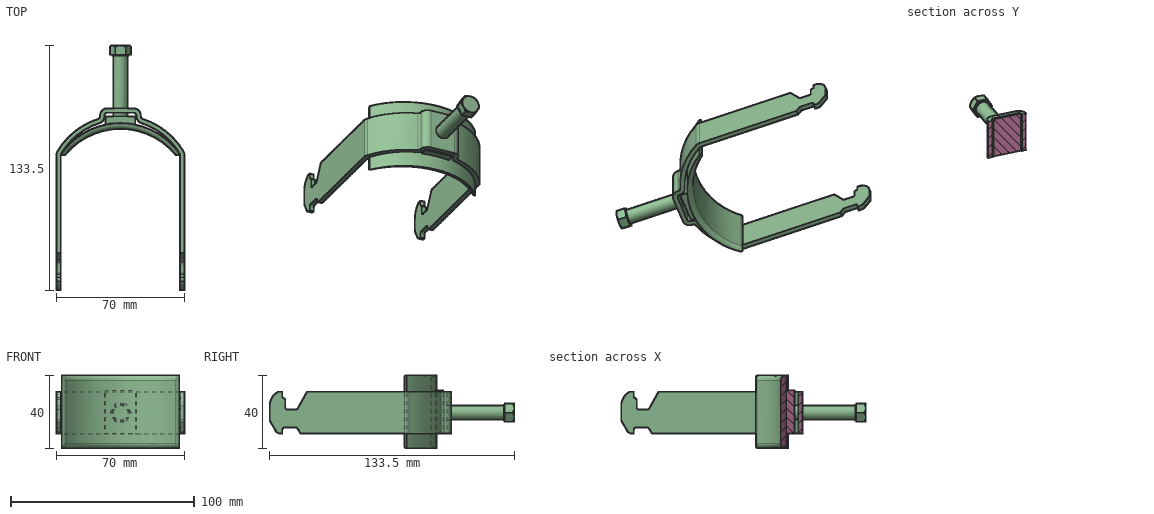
import cadquery as cq
import math


strap_span = 70.0
strap_thickness = 2.5
strap_width = 23.0
leg_length = 73.5
shoulder_radius = 4.5
arch_radius = 40.0
crown_height = 25.7
crown_flat_half = 7.2
crown_bend_inner = 1.5
crown_bend_outer = crown_bend_inner + strap_thickness

half_span = strap_span / 2
half_width = strap_width / 2
shoulder_x = half_span - shoulder_radius
arch_center_y = -math.sqrt((arch_radius - shoulder_radius) ** 2 - shoulder_x ** 2)
shoulder_angle = math.atan2(-arch_center_y, shoulder_x)
crown_wall_x = crown_flat_half + crown_bend_outer
crown_bend_y = crown_height - crown_bend_outer
foot_x = crown_wall_x + crown_bend_inner
foot_y = arch_center_y + math.sqrt((arch_radius + crown_bend_inner) ** 2 - foot_x ** 2)
foot_angle = math.atan2(foot_y - arch_center_y, foot_x)

hook_back_y = -66.5
upper_slope_start_y = -53.1
upper_floor_start_y = -58.5
upper_floor_z = 1.8
upper_wall_y = -64.9
upper_step_low_z = 7.2
upper_step_high_z = 8.5
nose_top_y = -68.7
nose_radius = 8.6
lower_slope_start_y = -56.6
lower_floor_start_y = -58.6
lower_floor_z = -8.2
bevel_top_z = -4.4
bevel_end_y = -69.3
notch_fillet = 1.0
bevel_fillet = 3.0

bolt_top = 60.0
shank_radius = 4.0
head_across_flats = 10.0
head_height = 5.2
head_chamfer = 0.8
washer_face_radius = 4.4
washer_face_height = 0.4

saddle_width = 40.0
saddle_center_z = 0.5
saddle_half_span = 32.1
saddle_end_height = 1.2
saddle_inner_half = 30.3
saddle_outer_apex = 17.7
saddle_inner_apex = 14.4
saddle_rim_fillet = 2.7
saddle_end_fillet = 1.15

block_length = 16.4
block_width = 23.5
block_top = 21.3
block_edge_fillet = 0.5


def polar(center_x, center_y, radius, angle):
    return center_x + radius * math.cos(angle), center_y + radius * math.sin(angle)


def mirrored(point):
    return -point[0], point[1]


def fillet_at(body, radius, points):
    """Round the edges of a body whose centroids lie nearest to the given points."""
    for point in points:
        body = body.edges(cq.selectors.NearestToPointSelector(point)).fillet(radius)
    return body


def strap_face(depth):
    """Points of one strap face from the right leg to the crown, at a depth below the outer face."""
    shoulder_r = shoulder_radius - depth
    arch_r = arch_radius - depth
    bend_r = crown_bend_outer - depth
    foot_r = crown_bend_inner + depth
    arch_mid_angle = (shoulder_angle + foot_angle) / 2
    foot_mid_angle = math.pi + foot_angle / 2
    return {
        "leg_end": (half_span - depth, -leg_length),
        "leg_top": (half_span - depth, 0),
        "shoulder_mid": polar(shoulder_x, 0, shoulder_r, shoulder_angle / 2),
        "shoulder_end": polar(shoulder_x, 0, shoulder_r, shoulder_angle),
        "arch_mid": polar(0, arch_center_y, arch_r, arch_mid_angle),
        "arch_end": polar(0, arch_center_y, arch_r, foot_angle),
        "foot_mid": polar(foot_x, foot_y, foot_r, foot_mid_angle),
        "foot_end": (crown_wall_x - depth, foot_y),
        "wall_end": (crown_wall_x - depth, crown_bend_y),
        "bend_mid": polar(crown_flat_half, crown_bend_y, bend_r, math.pi / 4),
        "crown_edge": (crown_flat_half, crown_height - depth),
    }


def half_strap_band():
    outer = strap_face(0)
    inner = strap_face(strap_thickness)
    return (
        cq.Workplane("XY", origin=(0, 0, -half_width))
        .moveTo(*outer["leg_end"])
        .lineTo(*outer["leg_top"])
        .threePointArc(outer["shoulder_mid"], outer["shoulder_end"])
        .threePointArc(outer["arch_mid"], outer["arch_end"])
        .threePointArc(outer["foot_mid"], outer["foot_end"])
        .lineTo(*outer["wall_end"])
        .threePointArc(outer["bend_mid"], outer["crown_edge"])
        .lineTo(0, crown_height)
        .lineTo(0, crown_height - strap_thickness)
        .lineTo(*inner["crown_edge"])
        .threePointArc(inner["bend_mid"], inner["wall_end"])
        .lineTo(*inner["foot_end"])
        .threePointArc(inner["foot_mid"], inner["arch_end"])
        .threePointArc(inner["arch_mid"], inner["shoulder_end"])
        .threePointArc(inner["shoulder_mid"], inner["leg_top"])
        .lineTo(*inner["leg_end"])
        .close()
        .extrude(strap_width)
    )


def side_outline():
    """Strap silhouette along X, with the hooks cut into the leg ends."""
    nose_angle = math.acos((nose_radius - nose_top_y - leg_length) / nose_radius)
    nose_center_y = nose_radius - leg_length
    nose_base_z = half_width - nose_radius * math.sin(nose_angle)
    nose_mid = polar(nose_center_y, nose_base_z, nose_radius, math.pi - nose_angle / 2)
    blank = (
        cq.Workplane("YZ", origin=(-half_span, 0, 0))
        .moveTo(crown_height, half_width)
        .lineTo(upper_slope_start_y, half_width)
        .lineTo(upper_floor_start_y, upper_floor_z)
        .lineTo(upper_wall_y, upper_floor_z)
        .lineTo(upper_wall_y, upper_step_low_z)
        .lineTo(hook_back_y, upper_step_high_z)
        .lineTo(hook_back_y, half_width)
        .lineTo(nose_top_y, half_width)
        .threePointArc(nose_mid, (-leg_length, nose_base_z))
        .lineTo(-leg_length, bevel_top_z)
        .lineTo(bevel_end_y, -half_width)
        .lineTo(hook_back_y, -half_width)
        .lineTo(hook_back_y, lower_floor_z)
        .lineTo(lower_floor_start_y, lower_floor_z)
        .lineTo(lower_slope_start_y, -half_width)
        .lineTo(crown_height, -half_width)
        .close()
        .extrude(strap_span)
    )
    notch_corners = [
        (0, upper_floor_start_y, upper_floor_z),
        (0, upper_wall_y, upper_floor_z),
        (0, hook_back_y, lower_floor_z),
        (0, lower_floor_start_y, lower_floor_z),
    ]
    bevel_corners = [(0, -leg_length, bevel_top_z), (0, bevel_end_y, -half_width)]
    blank = fillet_at(blank, notch_fillet, notch_corners)
    return fillet_at(blank, bevel_fillet, bevel_corners)


def make_strap():
    half = half_strap_band()
    band = half.union(half.mirror("YZ"))
    bolt_hole = cq.Workplane("XZ").circle(shank_radius).extrude(-bolt_top)
    return band.intersect(side_outline()).cut(bolt_hole)


def make_bolt():
    head_base = bolt_top - head_height
    corner_radius = head_across_flats / math.sqrt(3)
    head = cq.Workplane("XZ", origin=(0, head_base, 0)).polygon(6, 2 * corner_radius).extrude(-head_height)
    rounding = (
        cq.Workplane("XZ", origin=(0, head_base, 0))
        .circle(corner_radius)
        .extrude(-head_height)
        .faces(">Y")
        .chamfer(head_chamfer)
    )
    washer_face = (
        cq.Workplane("XZ", origin=(0, head_base, 0)).circle(washer_face_radius).extrude(washer_face_height)
    )
    shank = cq.Workplane("XZ", origin=(0, block_top, 0)).circle(shank_radius).extrude(block_top - head_base)
    return head.intersect(rounding).union(washer_face).union(shank)


def make_saddle():
    outer_end = (saddle_half_span, saddle_end_height)
    inner_end = (saddle_inner_half, 0)
    low_z = saddle_center_z - saddle_width / 2
    body = (
        cq.Workplane("XY", origin=(0, 0, low_z))
        .moveTo(saddle_half_span, 0)
        .lineTo(*outer_end)
        .threePointArc((0, saddle_outer_apex), mirrored(outer_end))
        .lineTo(-saddle_half_span, 0)
        .lineTo(*mirrored(inner_end))
        .threePointArc((0, saddle_inner_apex), inner_end)
        .close()
        .extrude(saddle_width)
    )
    end_edges = [(side * saddle_inner_half, 0, saddle_center_z) for side in (-1, 1)]
    rim_edges = [(0, saddle_inner_apex / 2, low_z + rise) for rise in (0, saddle_width)]
    body = fillet_at(body, saddle_rim_fillet, rim_edges)
    return fillet_at(body, saddle_end_fillet, end_edges)


def make_block(saddle):
    """Rectangular block seated on the saddle's back."""
    base = (saddle_inner_apex + saddle_outer_apex) / 2
    return (
        cq.Workplane("XY", origin=(0, (base + block_top) / 2, saddle_center_z))
        .box(block_length, block_top - base, block_width)
        .edges(">Y and |Z")
        .fillet(block_edge_fillet)
        .cut(saddle)
    )


strap = make_strap()
bolt = make_bolt()
saddle = make_saddle()
block = make_block(saddle)

bodies = [strap, bolt, saddle, block]
result = cq.Compound.makeCompound([body.solids().val() for body in bodies])